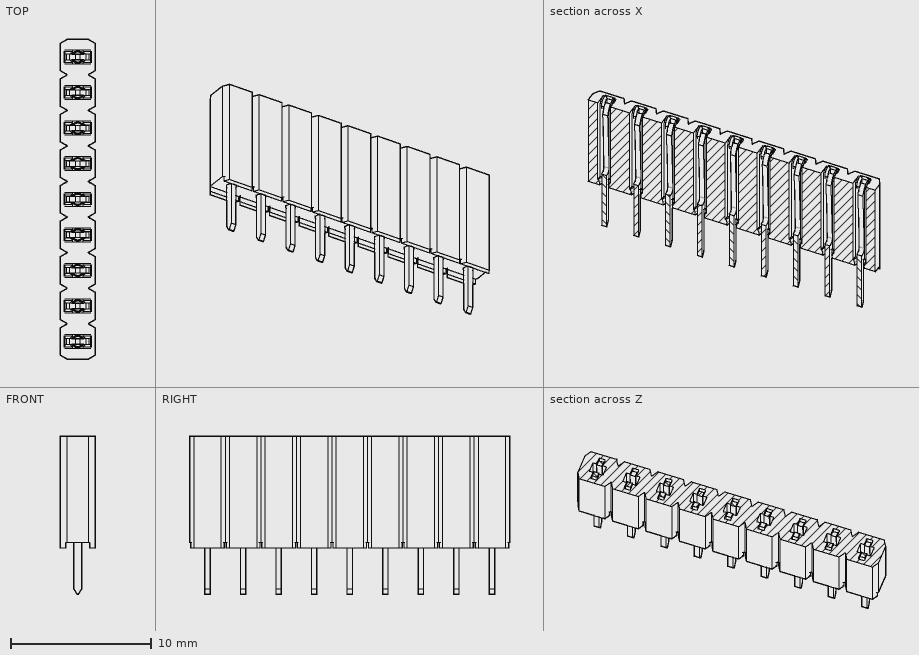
import cadquery as cq
import math

contact_count = 9
pitch = 2.54
row_length = contact_count * pitch
contact_positions = [(i - (contact_count - 1) / 2) * pitch for i in range(contact_count)]

housing_width = 2.5
housing_height = 8.0
notch_depth = 0.5
notch_half_length = 0.29
channel_half_width = 0.85
channel_height = 0.4

well_half_width = 0.36
well_half_length = 0.5
mouth_radius = 0.54
mouth_half_width = well_half_width + mouth_radius
socket_floor = 0.9
slot_half_width = 0.9
slot_half_thickness = 0.22
slot_chamfer = 0.17
slot_end_angle = 30
funnel_top_radius = 0.44
funnel_depth = 0.24
tail_hole_diameter = 0.72

contact_thickness = 0.4
tail_width = math.sqrt(tail_hole_diameter**2 - contact_thickness**2)
tail_length = 3.3
tail_point_height = 0.4
tail_point_half_width = 0.04
fork_base_half_width = 0.8
fork_slot_radius = 0.39
fork_slot_floor = socket_floor + 0.6
tine_tip_half_width = 0.59
tine_tip_height = housing_height - 0.3
tine_gap_half_width = 0.17
tine_lead_in_height = 0.8
tine_lead_in_bulge = 0.035


def extrude_along_y(profile, half_length):
    """Extrude a closed XZ profile to both sides of y = 0."""
    return profile.close().extrude(half_length, both=True)


def make_housing_block():
    """Full bar, chamfered at its ends, notched between sockets and channelled underneath."""
    block = cq.Workplane("XY").box(housing_width, row_length, housing_height, centered=(True, True, False))
    side = housing_width / 2
    for i in range(contact_count + 1):
        y = i * pitch - row_length / 2
        for direction in (-1, 1):
            notch = (
                cq.Workplane("XY")
                .moveTo(direction * side, y - notch_half_length)
                .lineTo(direction * (side - notch_depth), y)
                .lineTo(direction * side, y + notch_half_length)
                .close()
                .extrude(housing_height)
            )
            block = block.cut(notch)
    channel = cq.Workplane("XY").box(
        2 * channel_half_width, row_length, channel_height, centered=(True, True, False)
    )
    return block.cut(channel)


def make_well():
    """Central well whose two ends flare out to the top face in a quarter circle."""
    arc_height = housing_height - mouth_radius
    arc_mid = mouth_radius * math.sqrt(0.5)
    profile = (
        cq.Workplane("XZ")
        .moveTo(-well_half_width, socket_floor)
        .lineTo(well_half_width, socket_floor)
        .lineTo(well_half_width, arc_height)
        .threePointArc(
            (mouth_half_width - arc_mid, arc_height + arc_mid), (mouth_half_width, housing_height)
        )
        .lineTo(-mouth_half_width, housing_height)
        .threePointArc(
            (arc_mid - mouth_half_width, arc_height + arc_mid), (-well_half_width, arc_height)
        )
    )
    return extrude_along_y(profile, well_half_length)


def make_slot(half_thickness):
    """Slot for the fork, with a sloped lead-in at each end."""
    lead_in_width = slot_chamfer * math.tan(math.radians(slot_end_angle))
    lead_in_foot = housing_height - slot_chamfer
    top_half_width = slot_half_width + lead_in_width
    profile = cq.Workplane("XZ").polyline([
        (-slot_half_width, socket_floor),
        (slot_half_width, socket_floor),
        (slot_half_width, lead_in_foot),
        (top_half_width, housing_height),
        (-top_half_width, housing_height),
        (-slot_half_width, lead_in_foot),
    ])
    return extrude_along_y(profile, half_thickness)


def make_slot_chamfer(direction):
    """45 degree chamfer between the slot and the rounded end of the well on one side."""
    outer_half = slot_half_thickness + slot_chamfer
    bevel_ring = (
        cq.Workplane("XY")
        .polyline([
            (mouth_radius - slot_chamfer, -slot_half_thickness),
            (mouth_radius, -outer_half),
            (mouth_radius, outer_half),
            (mouth_radius - slot_chamfer, slot_half_thickness),
        ])
        .close()
        .revolve(360, (0, 0, 0), (0, 1, 0))
        .translate((direction * mouth_half_width, 0, housing_height - mouth_radius))
    )
    return bevel_ring.intersect(make_slot(outer_half))


def make_tail_hole():
    """Funnel in the socket floor and the round hole below it."""
    tail_hole_radius = tail_hole_diameter / 2
    profile = cq.Workplane("XZ").polyline([
        (0, 0),
        (tail_hole_radius, 0),
        (tail_hole_radius, socket_floor - funnel_depth),
        (funnel_top_radius, socket_floor),
        (0, socket_floor),
    ])
    return profile.close().revolve(360, (0, 0, 0), (0, 1, 0))


def make_housing():
    socket = make_well().union(make_slot(slot_half_thickness))
    for direction in (-1, 1):
        socket = socket.union(make_slot_chamfer(direction))
    socket = socket.union(make_tail_hole())
    housing = make_housing_block()
    for y in contact_positions:
        housing = housing.cut(socket.translate((0, y, 0)))
    return housing


def make_contact():
    """Fork of two tines leaning together, on a flat tail with a tapered point."""
    tail_half = tail_width / 2
    nose_height = tine_tip_height - tine_lead_in_height
    arc_x = (tine_tip_half_width + tine_gap_half_width) / 2 - tine_lead_in_bulge
    arc_z = (tine_tip_height + nose_height) / 2 + tine_lead_in_bulge
    slot_arc_height = fork_slot_floor + fork_slot_radius
    profile = (
        cq.Workplane("XZ")
        .moveTo(-tail_point_half_width, -tail_length)
        .lineTo(tail_point_half_width, -tail_length)
        .lineTo(tail_half, tail_point_height - tail_length)
        .lineTo(tail_half, socket_floor)
        .lineTo(fork_base_half_width, socket_floor)
        .lineTo(tine_tip_half_width, tine_tip_height)
        .threePointArc((arc_x, arc_z), (tine_gap_half_width, nose_height))
        .lineTo(fork_slot_radius, slot_arc_height)
        .threePointArc((0, fork_slot_floor), (-fork_slot_radius, slot_arc_height))
        .lineTo(-tine_gap_half_width, nose_height)
        .threePointArc((-arc_x, arc_z), (-tine_tip_half_width, tine_tip_height))
        .lineTo(-fork_base_half_width, socket_floor)
        .lineTo(-tail_half, socket_floor)
        .lineTo(-tail_half, tail_point_height - tail_length)
    )
    return extrude_along_y(profile, contact_thickness / 2)


housing = make_housing()
contact = make_contact()
contacts = [contact.translate((0, y, 0)) for y in contact_positions]

result = cq.Compound.makeCompound([housing.val(), *[body.val() for body in contacts]])